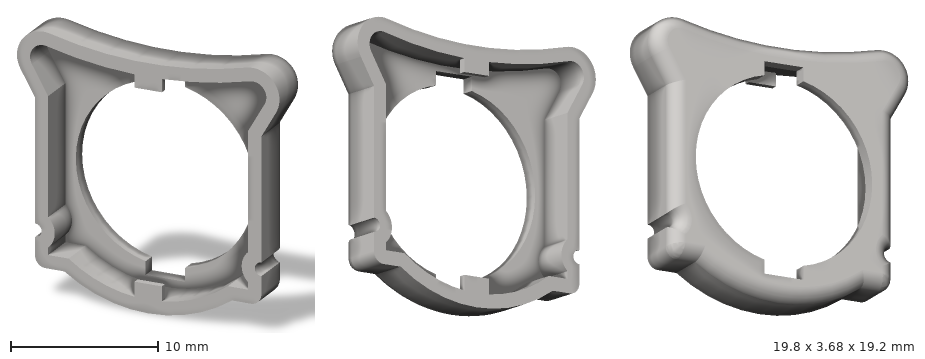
import cadquery as cq
import math

depth = 3.68
wall = 0.99
floor_thickness = 0.99
edge_radius = 0.99
bore_radius = 6.75

side_x = 8.53
half_width = 9.9
ear_radius = 2.0
ear_x = half_width - ear_radius
ear_z = 8.0
ear_flank_angle = math.radians(30)
top_middle_z = 9.0
foot_z = -7.2
foot_corner_radius = 0.8
belly_radius = 11.0
belly_bottom_z = -9.2
belly_center_z = belly_bottom_z + belly_radius

notch_radius = 0.5
notch_z = -4.57

tab_width = 2.05
tab_thickness = 0.5
tab_tip_z = 7.07
slot_width = 2.97
slot_end_z = 7.58

rise = top_middle_z - ear_z
top_radius = (ear_x**2 + rise**2 - ear_radius**2) / (2 * (ear_radius - rise))
top_center_z = top_middle_z + top_radius


def extrude_back(sketch, length):
    """Extrude an XZ sketch toward +Y."""
    return sketch.extrude(-length)


def profile(inset, length):
    """Solid of the outline moved inward by inset, with sharp foot corners."""
    x = side_x - inset
    foot = foot_z + inset
    ear = ear_radius - inset
    belly = belly_radius - inset
    belly_x = math.sqrt(belly**2 - (foot - belly_center_z) ** 2)

    flank_x = ear_x + ear * math.cos(ear_flank_angle)
    flank_z = ear_z - ear * math.sin(ear_flank_angle)
    shoulder_z = flank_z - (flank_x - x) / math.tan(ear_flank_angle)

    reach = ear / (top_radius + ear_radius)
    crest_x = ear_x - ear_x * reach
    crest_z = ear_z + (top_center_z - ear_z) * reach
    ear_side_x = ear_x + ear

    sketch = (
        cq.Workplane("XZ")
        .moveTo(-belly_x, foot)
        .threePointArc((0, belly_center_z - belly), (belly_x, foot))
        .lineTo(x, foot)
        .lineTo(x, shoulder_z)
        .lineTo(flank_x, flank_z)
        .threePointArc((ear_side_x, ear_z), (crest_x, crest_z))
        .threePointArc((0, top_middle_z - inset), (-crest_x, crest_z))
        .threePointArc((-ear_side_x, ear_z), (-flank_x, flank_z))
        .lineTo(-x, shoulder_z)
        .lineTo(-x, foot)
        .close()
    )
    return extrude_back(sketch, length)


def notch_rods(radius, length):
    """Rods along Y centred on the two side notches."""
    centers = [(-side_x, notch_z), (side_x, notch_z)]
    return extrude_back(cq.Workplane("XZ").pushPoints(centers).circle(radius), length)


def upright_bar(width, bottom_z, top_z, front_y, length):
    """Box centred on X = 0 between two heights."""
    bar = cq.Workplane("XY").box(width, length, top_z - bottom_z, centered=(True, False, False))
    return bar.translate((0, front_y, bottom_z))


def foot_corners():
    """Selector for the edges along Y at the two outer foot corners."""
    margin = 0.2
    left, right = [
        cq.selectors.BoxSelector(
            (x - margin, 0, foot_z - margin), (x + margin, depth, foot_z + margin)
        )
        for x in (-side_x, side_x)
    ]
    return left + right


def shell_body():
    """Notched outer block with rounded rear edge."""
    block = profile(0, depth)
    block = block.edges(foot_corners()).fillet(foot_corner_radius)
    block = block.cut(notch_rods(notch_radius, depth))
    return block.faces(">Y").edges().fillet(edge_radius)


def cavity():
    """Front pocket; the wall keeps its thickness around the notches."""
    pocket_depth = depth - floor_thickness
    return profile(wall, pocket_depth).cut(notch_rods(notch_radius + wall, pocket_depth))


def bore():
    """Through bore with a slot at the top and bottom."""
    hole = extrude_back(cq.Workplane("XZ").circle(bore_radius), depth)
    return hole.union(upright_bar(slot_width, -slot_end_z, slot_end_z, 0, depth))


def tabs():
    """Thin tabs at the open face, reaching from the wall toward the bore."""
    top_end_z = top_middle_z - wall / 2
    bottom_end_z = belly_bottom_z + wall / 2
    upper = upright_bar(tab_width, tab_tip_z, top_end_z, 0, tab_thickness)
    lower = upright_bar(tab_width, bottom_end_z, -tab_tip_z, 0, tab_thickness)
    return upper.union(lower)


result = shell_body().cut(cavity()).cut(bore()).union(tabs())